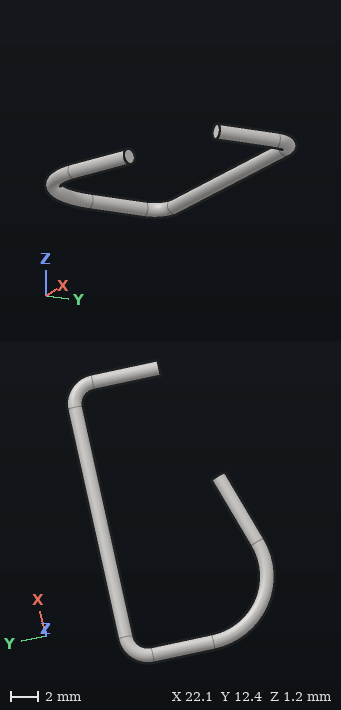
import cadquery as cq
import math

wire_diameter = 1.2
overall_length = 22.05
overall_width = 12.42

corner_radius = 1.65
hook_radius = 5.0
hook_rise_angle = math.radians(18)
tail_length = 5.74
right_leg_reach = 7.28

wire_radius = wire_diameter / 2
left_x = wire_radius
right_x = overall_length - wire_radius
back_y = overall_width - wire_radius
right_leg_end_y = overall_width - right_leg_reach

hook_center_x = left_x + hook_radius
hook_center_y = wire_radius + hook_radius


def hook_point(angle):
    """Point on the hook centreline, angle measured from straight down toward +X."""
    return (
        hook_center_x + hook_radius * math.sin(angle),
        hook_center_y - hook_radius * math.cos(angle),
    )


hook_end = hook_point(hook_rise_angle)
hook_middle = hook_point((hook_rise_angle - math.pi / 2) / 2)
tail_end = (
    hook_end[0] + tail_length * math.cos(hook_rise_angle),
    hook_end[1] + tail_length * math.sin(hook_rise_angle),
)

centerline = (
    cq.Workplane("XY")
    .moveTo(right_x, right_leg_end_y)
    .lineTo(right_x, back_y - corner_radius)
    .tangentArcPoint((right_x - corner_radius, back_y), relative=False)
    .lineTo(left_x + corner_radius, back_y)
    .tangentArcPoint((left_x, back_y - corner_radius), relative=False)
    .lineTo(left_x, hook_center_y)
    .threePointArc(hook_middle, hook_end)
    .lineTo(*tail_end)
)

result = (
    cq.Workplane("XZ", origin=(right_x, right_leg_end_y, 0))
    .circle(wire_radius)
    .sweep(centerline)
)